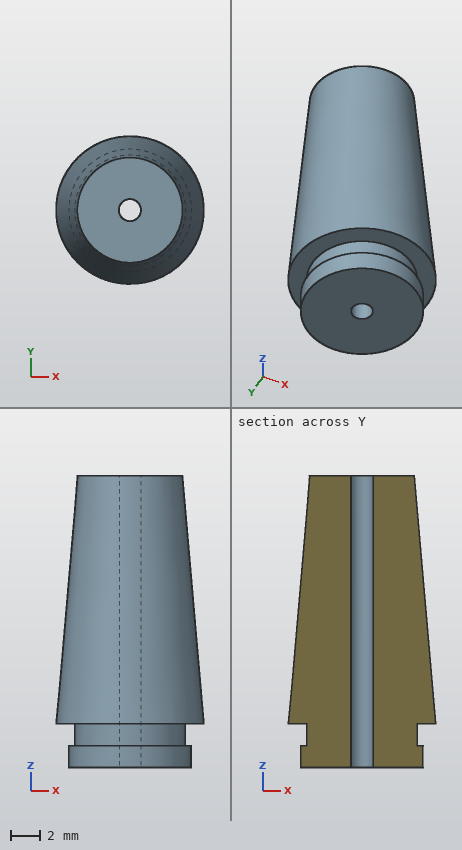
import cadquery as cq

total_height = 20.0
flange_height = 1.5
neck_height = 1.5
cone_base_z = flange_height + neck_height
cone_height = total_height - cone_base_z

flange_diameter = 8.4
neck_diameter = 7.6
cone_base_diameter = 10.15
cone_top_diameter = 7.2
bore_diameter = 1.5


def tapered_body():
    """Cone narrowing from the shoulder above the neck to the flat top."""
    profile = [
        (0, cone_base_z),
        (cone_base_diameter / 2, cone_base_z),
        (cone_top_diameter / 2, cone_base_z + cone_height),
        (0, cone_base_z + cone_height),
    ]
    return cq.Workplane("XZ").polyline(profile).close().revolve(360, (0, 0), (0, 1))


def flanged_neck():
    """Retaining flange at the bottom with the narrower neck above it."""
    flange = cq.Workplane("XY").circle(flange_diameter / 2).extrude(flange_height)
    return flange.faces(">Z").workplane().circle(neck_diameter / 2).extrude(neck_height)


def through_bore():
    """Axial hole running the full height."""
    return cq.Workplane("XY").circle(bore_diameter / 2).extrude(total_height)


result = tapered_body().union(flanged_neck()).cut(through_bore())